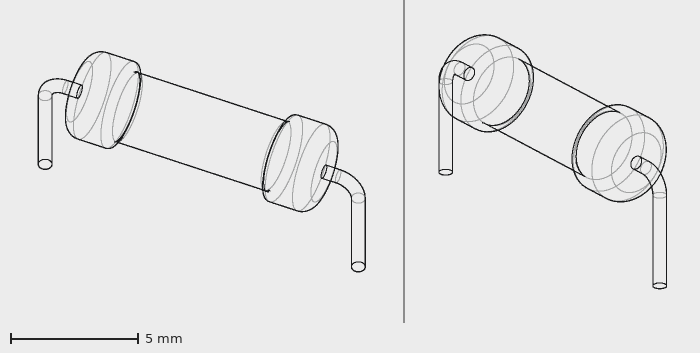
import cadquery as cq
import math

OVERALL_LENGTH = 14.05
BODY_LENGTH = 10.54
CAP_DIAMETER = 3.6
CORE_DIAMETER = 2.87
CAP_LENGTH = 2.07
STEP_LENGTH = 0.34
STEP_REACH = 0.3
END_ROUNDING = 0.55
LEAD_DIAMETER = 0.55
BEND_RADIUS = 0.87
LEAD_DROP = 4.8

cap_radius = CAP_DIAMETER / 2
core_radius = CORE_DIAMETER / 2
body_end = BODY_LENGTH / 2
core_end = body_end - CAP_LENGTH
shoulder_x = core_end + STEP_LENGTH
lead_x = (OVERALL_LENGTH - LEAD_DIAMETER) / 2
diagonal = math.sqrt(0.5)


def make_cap():
    """Revolve the +X cap, from the foot of its step to its end face, about X."""
    rounding_x = body_end - END_ROUNDING
    rounding_radius = cap_radius - END_ROUNDING
    profile = (
        cq.Workplane("XZ")
        .moveTo(core_end, 0)
        .lineTo(core_end, core_radius)
        .bezier(
            [
                (core_end, core_radius),
                (core_end + STEP_REACH, core_radius),
                (shoulder_x - STEP_REACH, cap_radius),
                (shoulder_x, cap_radius),
            ]
        )
        .lineTo(rounding_x, cap_radius)
        .threePointArc(
            (rounding_x + END_ROUNDING * diagonal, rounding_radius + END_ROUNDING * diagonal),
            (body_end, rounding_radius),
        )
        .lineTo(body_end, 0)
        .close()
    )
    return profile.revolve(360, (0, 0, 0), (1, 0, 0))


def make_body():
    """Join a plain core cylinder to a cap at each end."""
    core = (
        cq.Workplane("YZ", origin=(-core_end, 0, 0))
        .circle(core_radius)
        .extrude(2 * core_end)
    )
    cap = make_cap()
    return core.union(cap).union(cap.mirror("YZ"))


def make_lead(side):
    """Sweep a wire out of the end face and down; side is -1 or +1 along X."""
    bend_start = lead_x - BEND_RADIUS
    bend_reach = BEND_RADIUS * diagonal
    path = (
        cq.Workplane("XZ")
        .moveTo(side * body_end, 0)
        .lineTo(side * bend_start, 0)
        .threePointArc(
            (side * (bend_start + bend_reach), bend_reach - BEND_RADIUS),
            (side * lead_x, -BEND_RADIUS),
        )
        .lineTo(side * lead_x, -LEAD_DROP)
    )
    section = cq.Workplane("YZ", origin=(side * body_end, 0, 0)).circle(LEAD_DIAMETER / 2)
    return section.sweep(path)


body = make_body()
leads = [make_lead(side) for side in (-1, 1)]

result = cq.Compound.makeCompound([body.solids().val(), *[lead.val() for lead in leads]])